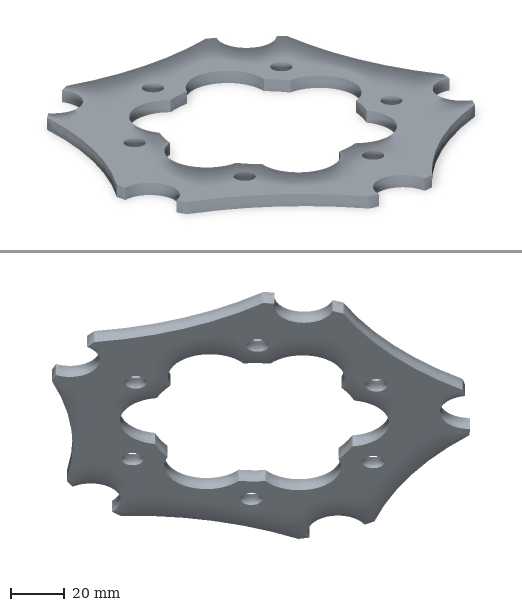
import cadquery as cq
import math

width = 159.0
thickness = 5.0

arm_count = 5
arm_step = 360 / arm_count
arm_half_angle = 11.0
first_direction = 90.0
rim_radius = width / 2 / math.sin(math.radians(arm_step + arm_half_angle))
waist_radius = 68.0
notch_radius = 11.1

lobe_count = 6
bore_radius = 39.7
lobe_center_radius = 34.3
lobe_radius = 15.5

hole_diameter = 8.3
hole_circle_radius = 51.5


def polar(radius, degrees):
    angle = math.radians(degrees)
    return (radius * math.cos(angle), radius * math.sin(angle))


def make_plate():
    """Star plate with arms on the rim joined by concave arcs."""
    outline = cq.Workplane("XY").moveTo(*polar(rim_radius, first_direction - arm_half_angle))
    for i in range(arm_count):
        arm = first_direction + i * arm_step
        next_arm = arm + arm_step
        outline = outline.threePointArc(
            polar(rim_radius, arm), polar(rim_radius, arm + arm_half_angle)
        )
        outline = outline.threePointArc(
            polar(waist_radius, arm + arm_step / 2),
            polar(rim_radius, next_arm - arm_half_angle),
        )
    return outline.close().extrude(thickness)


def make_cylinders(radius, circle_radius, start_angle, count):
    """Evenly spaced cutting cylinders through the plate thickness."""
    return (
        cq.Workplane("XY")
        .polarArray(circle_radius, start_angle, 360, count)
        .circle(radius)
        .extrude(thickness)
    )


bore = cq.Workplane("XY").circle(bore_radius).extrude(thickness)
lobes = make_cylinders(lobe_radius, lobe_center_radius, 0, lobe_count)
notches = make_cylinders(notch_radius, rim_radius, first_direction, arm_count)
holes = make_cylinders(hole_diameter / 2, hole_circle_radius, first_direction, lobe_count)

result = make_plate().cut(notches).cut(bore).cut(lobes).cut(holes)